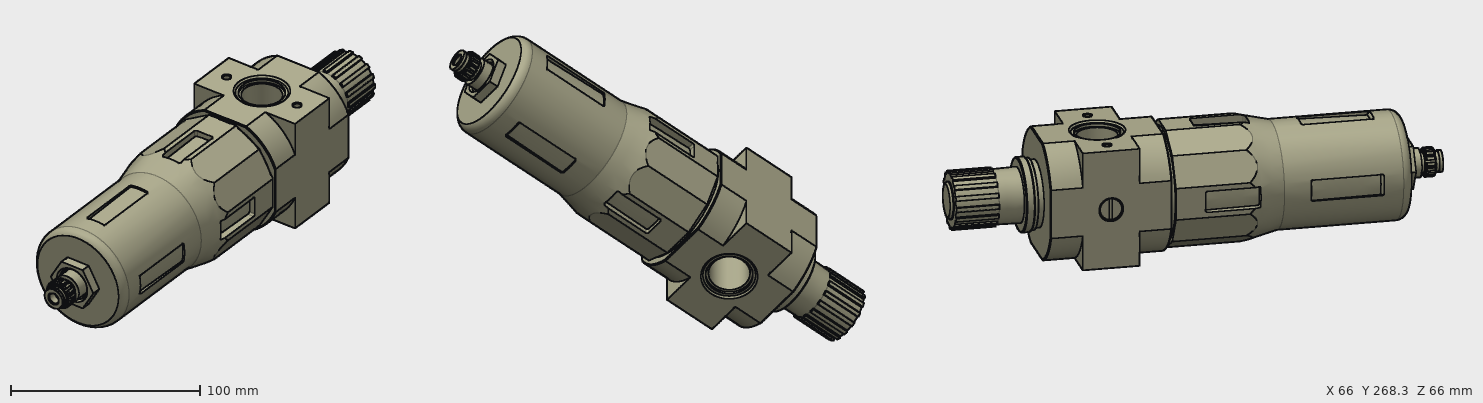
import cadquery as cq
import math


HEAD_SIZE = 66.0
HEAD_HALF = HEAD_SIZE / 2
CORNER_RADIUS = 35.7
ARM_WIDTH = 30.8
HEAD_CHAMFER = 0.5
FLANGE_TOP = 43.0
FLANGE_BOTTOM = 38.0
FLANGE_RADIUS = 20.0
FLANGE_CHAMFER = 0.5
FLANGE_STEP_BOTTOM = 36.2
FLANGE_STEP_RADIUS = 19.3
FLANGE_NECK_RADIUS = 18.2

PORT_DIAMETER = 22.0
PORT_STEP_DIAMETER = 25.0
PORT_STEP_DEPTH = 2.7
PORT_SEAT_DIAMETER = 28.0
PORT_MOUTH_DIAMETER = 30.0
PORT_SEAT_DEPTH = (PORT_MOUTH_DIAMETER - PORT_SEAT_DIAMETER) / 2

SCREW_HOLE_DIAMETER = 4.0
SCREW_HOLE_OFFSET = 23.0
SCREW_HOLE_DEPTH = 8.0
SCREW_HOLE_CHAMFER = 0.5

PLUG_MOUTH_DIAMETER = 13.1
PLUG_DIAMETER = 11.8
PLUG_RECESS = (PLUG_MOUTH_DIAMETER - PLUG_DIAMETER) / 2
PLUG_SLOT_WIDTH = 1.5
PLUG_SLOT_DEPTH = 0.5

KNOB_END = 81.8
KNOB_GRIP_TOP = 80.0
KNOB_GRIP_BOTTOM = 56.5
KNOB_RADIUS = 15.8
KNOB_CAP_RADIUS = 10.2
KNOB_CAP_CHAMFER = 1.3
KNOB_NECK_RADIUS = 15.0
KNOB_CORE_RADIUS = 14.8
KNOB_RIB_COUNT = 16
KNOB_RIB_WIDTH = 2.5

GUARD_SIDES = 12
COLLAR_RADIUS = 31.0
GRIP_TOP = -35.1
TAPER_TOP = -75.5
TAPER_BOTTOM = -94.7
BOWL_RADIUS = 29.5
ROUND_TOP = -159.3
BOWL_BOTTOM = -164.5
BOWL_END_RADIUS = 26.5
HEX_SIDES = 6
HEX_FLATS = 24.1
HEX_BOTTOM = -169.8
DRAIN_BORE_DIAMETER = 18.0
DRAIN_MOUTH_DIAMETER = 20.0
DRAIN_BORE_DEPTH = 4.0

WINDOW_COUNT = 4
WINDOW_WIDTH = 11.8
WINDOW_CORNER = 1.0
UPPER_WINDOW = (-51.2, -81.3)
LOWER_WINDOW = (-109.5, -148.9)
WINDOW_FLOOR_TOP_RADIUS = 29.8
WINDOW_FLOOR_END_RADIUS = 27.5
WINDOW_FLOOR_END = -147.5

DRAIN_RADIUS = 15.8 / 2
DRAIN_NECK_RADIUS = 11.0 / 2
DRAIN_RIM_RADIUS = 11.8 / 2
DRAIN_COLLAR_BOTTOM = -174.3
DRAIN_KNURL_TOP = -176.5
DRAIN_KNURL_BOTTOM = -182.5
DRAIN_RIM_TOP = -184.5
DRAIN_END = -186.5
DRAIN_KNURL_CHAMFER = 0.8
DRAIN_SLOT_COUNT = 16
DRAIN_SLOT_WIDTH = 1.3
DRAIN_SLOT_FLOOR = 6.0
DRAIN_HOLE_DIAMETER = 6.0
DRAIN_HOLE_DEPTH = 5.4
DRAIN_HOLE_CHAMFER = 0.5


def span(width, y_low, y_high, height):
    """A box centred on the Y axis between two heights along Y."""
    return cq.Workplane("XY").box(width, y_high - y_low, height).translate((0, (y_low + y_high) / 2, 0))


def rod(radius, y_low, y_high):
    """A cylinder on the Y axis."""
    return cq.Workplane("XZ", origin=(0, y_high, 0)).circle(radius).extrude(y_high - y_low)


def turned(points):
    """A solid turned about the Y axis from (radius, y) points; the profile closes along the axis."""
    profile = [(0, points[0][1]), *points, (0, points[-1][1])]
    return cq.Workplane("XY").polyline(profile).close().revolve(360, (0, 0, 0), (0, 1, 0))


def ring_of(shape, count):
    """Copies of a shape spaced evenly about the Y axis."""
    copies = cq.Workplane("XY")
    for i in range(count):
        copies.add(shape.rotate((0, 0, 0), (0, 1, 0), i * 360 / count))
    return copies.combine()


def make_port():
    """The cutter for the port: a bore with a step, a flat seat and a conical mouth at each end."""
    step = HEAD_HALF - PORT_STEP_DEPTH
    seat = HEAD_HALF - PORT_SEAT_DEPTH
    profile = [
        (0, 0),
        (PORT_DIAMETER / 2, 0),
        (PORT_DIAMETER / 2, step),
        (PORT_STEP_DIAMETER / 2, step),
        (PORT_STEP_DIAMETER / 2, seat),
        (PORT_SEAT_DIAMETER / 2, seat),
        (PORT_MOUTH_DIAMETER / 2, HEAD_HALF),
        (0, HEAD_HALF),
    ]
    upper = cq.Workplane("XZ").polyline(profile).close().revolve(360, (0, 0, 0), (0, 1, 0))
    return upper.union(upper.mirror("XY"))


def make_screw_hole(x):
    """The cutter for a drilled hole in the top face, with a chamfered mouth and a conical end."""
    radius = SCREW_HOLE_DIAMETER / 2
    floor = HEAD_HALF - SCREW_HOLE_DEPTH
    profile = [
        (0, HEAD_HALF),
        (radius + SCREW_HOLE_CHAMFER, HEAD_HALF),
        (radius, HEAD_HALF - SCREW_HOLE_CHAMFER),
        (radius, floor),
        (0, floor - radius),
    ]
    hole = cq.Workplane("XZ").polyline(profile).close().revolve(360, (0, 0, 0), (0, 1, 0))
    return hole.translate((x, 0, 0))


def make_plug_recess():
    """The cutter for the plug on the -X face: a shallow conical recess with a slot in its floor."""
    face = cq.Workplane("YZ", origin=(-HEAD_HALF, 0, 0))
    recess = (
        face.circle(PLUG_MOUTH_DIAMETER / 2)
        .workplane(offset=PLUG_RECESS)
        .circle(PLUG_DIAMETER / 2)
        .loft()
    )
    slot = face.rect(PLUG_SLOT_WIDTH, PLUG_DIAMETER).extrude(PLUG_RECESS + PLUG_SLOT_DEPTH)
    return recess.union(slot.intersect(face.circle(PLUG_DIAMETER / 2).extrude(HEAD_HALF)))


def make_head():
    rounded = rod(CORNER_RADIUS, -HEAD_HALF, HEAD_HALF).faces("<Y or >Y").chamfer(HEAD_CHAMFER)
    block = span(HEAD_SIZE, -HEAD_HALF, HEAD_HALF, HEAD_SIZE).faces("<Y or >Y").chamfer(HEAD_CHAMFER)
    arms = span(HEAD_SIZE, -ARM_WIDTH / 2, ARM_WIDTH / 2, HEAD_SIZE)
    flange = turned([
        (FLANGE_RADIUS - FLANGE_CHAMFER, FLANGE_TOP),
        (FLANGE_RADIUS, FLANGE_TOP - FLANGE_CHAMFER),
        (FLANGE_RADIUS, FLANGE_BOTTOM + FLANGE_CHAMFER),
        (FLANGE_RADIUS - FLANGE_CHAMFER, FLANGE_BOTTOM),
        (FLANGE_STEP_RADIUS, FLANGE_BOTTOM),
        (FLANGE_STEP_RADIUS, FLANGE_STEP_BOTTOM),
        (FLANGE_NECK_RADIUS, FLANGE_STEP_BOTTOM),
        (FLANGE_NECK_RADIUS, HEAD_HALF),
    ])
    body = block.intersect(rounded).union(arms).union(flange)
    body = body.cut(make_port()).cut(make_plug_recess())
    for x in (-SCREW_HOLE_OFFSET, SCREW_HOLE_OFFSET):
        body = body.cut(make_screw_hole(x))
    return body


def make_knob():
    core = turned([
        (KNOB_CAP_RADIUS - KNOB_CAP_CHAMFER, KNOB_END),
        (KNOB_CAP_RADIUS, KNOB_END - KNOB_CAP_CHAMFER),
        (KNOB_CAP_RADIUS, KNOB_GRIP_TOP),
        (KNOB_CORE_RADIUS, KNOB_GRIP_TOP),
        (KNOB_CORE_RADIUS, KNOB_GRIP_BOTTOM),
        (KNOB_NECK_RADIUS, FLANGE_TOP),
    ])
    rib = span(KNOB_RIB_WIDTH, KNOB_GRIP_BOTTOM, KNOB_GRIP_TOP, KNOB_RADIUS)
    rib = rib.translate((0, 0, KNOB_RADIUS / 2))
    ribs = ring_of(rib, KNOB_RIB_COUNT).intersect(rod(KNOB_RADIUS, KNOB_GRIP_BOTTOM, KNOB_GRIP_TOP))
    return core.union(ribs)


def make_window(y_high, y_low):
    """The cutter for a window in the top side, rounded at its corners, with a tapering round floor."""
    opening = span(WINDOW_WIDTH, y_low, y_high, HEAD_HALF).translate((0, 0, HEAD_HALF))
    opening = opening.edges("|Z").fillet(WINDOW_CORNER)
    floor = turned([
        (WINDOW_FLOOR_TOP_RADIUS, UPPER_WINDOW[0]),
        (WINDOW_FLOOR_END_RADIUS, WINDOW_FLOOR_END),
        (BOWL_RADIUS, LOWER_WINDOW[1]),
    ])
    return opening.cut(floor)


def make_guard():
    vertex_diameter = HEAD_SIZE / math.cos(math.pi / GUARD_SIDES)
    prism = (
        cq.Workplane("XZ", origin=(0, GRIP_TOP, 0))
        .polygon(GUARD_SIDES, vertex_diameter)
        .extrude(GRIP_TOP - BOWL_BOTTOM)
        .rotate((0, 0, 0), (0, 1, 0), 180 / GUARD_SIDES)
    )
    envelope = (
        cq.Workplane("XY")
        .moveTo(0, GRIP_TOP)
        .lineTo(vertex_diameter / 2, GRIP_TOP)
        .lineTo(vertex_diameter / 2, TAPER_TOP)
        .lineTo(BOWL_RADIUS, TAPER_BOTTOM)
        .lineTo(BOWL_RADIUS, ROUND_TOP)
        .tangentArcPoint((BOWL_END_RADIUS, BOWL_BOTTOM), relative=False)
        .lineTo(0, BOWL_BOTTOM)
        .close()
        .revolve(360, (0, 0, 0), (0, 1, 0))
    )
    collar = rod(COLLAR_RADIUS, GRIP_TOP, -HEAD_HALF)
    hexagon = (
        cq.Workplane("XZ", origin=(0, BOWL_BOTTOM, 0))
        .polygon(HEX_SIDES, HEX_FLATS / math.cos(math.pi / HEX_SIDES))
        .extrude(BOWL_BOTTOM - HEX_BOTTOM)
    )
    mouth_depth = (DRAIN_MOUTH_DIAMETER - DRAIN_BORE_DIAMETER) / 2
    drain_bore = turned([
        (DRAIN_MOUTH_DIAMETER / 2, HEX_BOTTOM),
        (DRAIN_BORE_DIAMETER / 2, HEX_BOTTOM + mouth_depth),
        (DRAIN_BORE_DIAMETER / 2, HEX_BOTTOM + DRAIN_BORE_DEPTH),
    ])
    guard = prism.intersect(envelope).union(collar).union(hexagon).cut(drain_bore)
    for window in (UPPER_WINDOW, LOWER_WINDOW):
        guard = guard.cut(ring_of(make_window(*window), WINDOW_COUNT))
    return guard


def make_drain():
    screw = turned([
        (DRAIN_RADIUS, HEX_BOTTOM + DRAIN_BORE_DEPTH),
        (DRAIN_RADIUS, DRAIN_COLLAR_BOTTOM),
        (DRAIN_NECK_RADIUS, DRAIN_COLLAR_BOTTOM),
        (DRAIN_NECK_RADIUS, DRAIN_KNURL_TOP),
        (DRAIN_RADIUS - DRAIN_KNURL_CHAMFER, DRAIN_KNURL_TOP),
        (DRAIN_RADIUS, DRAIN_KNURL_TOP - DRAIN_KNURL_CHAMFER),
        (DRAIN_RADIUS, DRAIN_KNURL_BOTTOM + DRAIN_KNURL_CHAMFER),
        (DRAIN_RADIUS - DRAIN_KNURL_CHAMFER, DRAIN_KNURL_BOTTOM),
        (DRAIN_NECK_RADIUS, DRAIN_KNURL_BOTTOM),
        (DRAIN_NECK_RADIUS, DRAIN_RIM_TOP),
        (DRAIN_RIM_RADIUS, DRAIN_RIM_TOP),
        (DRAIN_RIM_RADIUS, DRAIN_END),
    ])
    slot = span(DRAIN_SLOT_WIDTH, DRAIN_KNURL_BOTTOM, DRAIN_KNURL_TOP, DRAIN_RADIUS)
    slot = slot.translate((0, 0, DRAIN_SLOT_FLOOR + DRAIN_RADIUS / 2))
    hole_radius = DRAIN_HOLE_DIAMETER / 2
    hole = turned([
        (hole_radius + DRAIN_HOLE_CHAMFER, DRAIN_END),
        (hole_radius, DRAIN_END + DRAIN_HOLE_CHAMFER),
        (hole_radius, DRAIN_END + DRAIN_HOLE_DEPTH),
    ])
    return screw.cut(ring_of(slot, DRAIN_SLOT_COUNT)).cut(hole)


head = make_head()
knob = make_knob()
guard = make_guard()
drain = make_drain()

result = cq.Compound.makeCompound([head.val(), knob.val(), guard.val(), drain.val()])